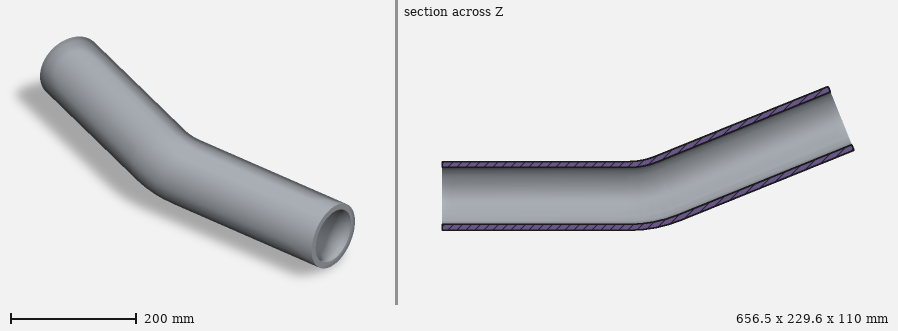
import cadquery as cq
import math

overall_length = 656.5
outer_diameter = 110.0
bore_diameter = 90.0
bend_angle = 22.0
bend_radius = 1.5 * outer_diameter

angle = math.radians(bend_angle)
bend_span = bend_radius * math.sin(angle)
end_face_overhang = outer_diameter / 2 * math.sin(angle)
leg_length = (overall_length - bend_span - end_face_overhang) / (1 + math.cos(angle))


def bend_point(turn):
    """Centreline point of the bend after turning by the given angle."""
    return (
        leg_length + bend_radius * math.sin(turn),
        bend_radius * (1 - math.cos(turn)),
    )


bend_end = bend_point(angle)
pipe_end = (
    bend_end[0] + leg_length * math.cos(angle),
    bend_end[1] + leg_length * math.sin(angle),
)
centreline = (
    cq.Workplane("XY")
    .lineTo(leg_length, 0)
    .threePointArc(bend_point(angle / 2), bend_end)
    .lineTo(*pipe_end)
)

result = (
    cq.Workplane("YZ")
    .circle(outer_diameter / 2)
    .circle(bore_diameter / 2)
    .sweep(centreline)
)